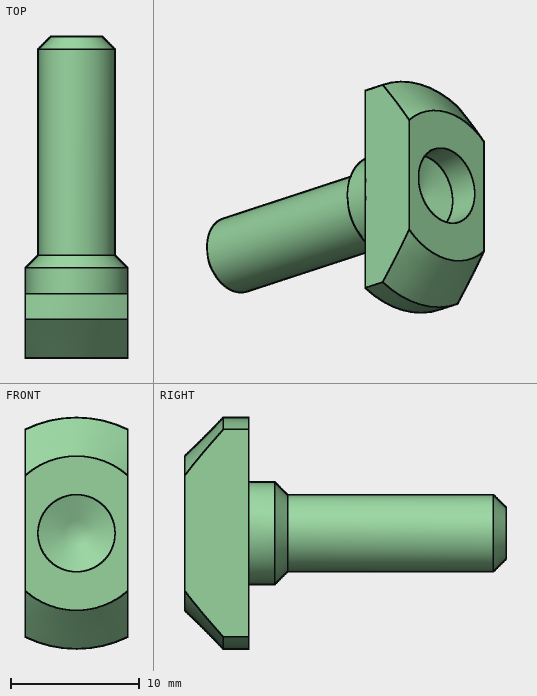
import cadquery as cq

head_radius = 9.0
head_thickness = 5.0
head_width = 8.0
head_bevel = 3.0

collar_radius = head_width / 2
collar_length = 2.0
shank_radius = 3.0
shank_tip_chamfer = 1.0
total_length = 25.0

recess_radius = 3.0
recess_wall_depth = 2.5
recess_cone_depth = 1.0

front_face_y = -head_thickness
collar_end_y = collar_length
taper_end_y = collar_end_y + collar_radius - shank_radius
tip_y = total_length - head_thickness


def revolve_about_y(profile_points):
    """Turn a closed (radius, Y) outline into a solid around the Y axis."""
    outline = cq.Workplane("XY").polyline(profile_points).close()
    return outline.revolve(360, (0, 0, 0), (0, 1, 0))


def make_head():
    """Bevelled disc, trimmed by flats at both sides in X."""
    disc = revolve_about_y([
        (0, front_face_y),
        (head_radius - head_bevel, front_face_y),
        (head_radius, front_face_y + head_bevel),
        (head_radius, 0),
        (0, 0),
    ])
    slab = cq.Workplane("XY").box(head_width, 2 * head_thickness, 2 * head_radius)
    return disc.intersect(slab)


def make_shank():
    """Collar, 45 degree taper and round shank with a chamfered tip."""
    return revolve_about_y([
        (0, 0),
        (collar_radius, 0),
        (collar_radius, collar_end_y),
        (shank_radius, taper_end_y),
        (shank_radius, tip_y - shank_tip_chamfer),
        (shank_radius - shank_tip_chamfer, tip_y),
        (0, tip_y),
    ])


def make_recess():
    """Round blind hole in the front face with a conical bottom."""
    wall_end_y = front_face_y + recess_wall_depth
    return revolve_about_y([
        (0, front_face_y),
        (recess_radius, front_face_y),
        (recess_radius, wall_end_y),
        (0, wall_end_y + recess_cone_depth),
    ])


result = make_head().union(make_shank()).cut(make_recess())